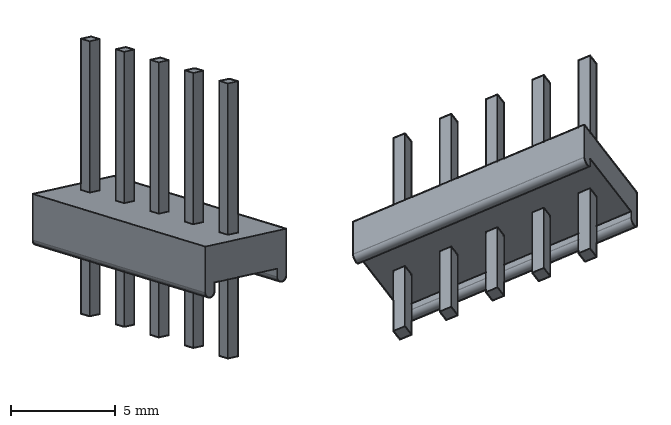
import cadquery as cq

pin_count = 5
pitch = 2.54
pin_size = 0.64
pin_length = 13.59
tail_length = 3.55
housing_top = 6.12
channel_top = 4.24
rail_width = 0.58

housing_length = pin_count * pitch
housing_width = 2 * pitch
rail_offset = (housing_width - rail_width) / 2


def make_rail(y_center):
    """Rail along one long edge, with a fully rounded foot."""
    radius = rail_width / 2
    round_start = tail_length + radius
    return (
        cq.Workplane("YZ", origin=(-housing_length / 2, y_center, 0))
        .moveTo(-radius, channel_top)
        .lineTo(-radius, round_start)
        .threePointArc((0, tail_length), (radius, round_start))
        .lineTo(radius, channel_top)
        .close()
        .extrude(housing_length)
    )


housing = (
    cq.Workplane("XY", origin=(0, 0, channel_top))
    .rect(housing_length, housing_width)
    .extrude(housing_top - channel_top)
)
for side in (-1, 1):
    housing = housing.union(make_rail(side * rail_offset))

pins = (
    cq.Workplane("XY")
    .rarray(pitch, pitch, pin_count, 1)
    .rect(pin_size, pin_size)
    .extrude(pin_length)
)

result = housing.union(pins)